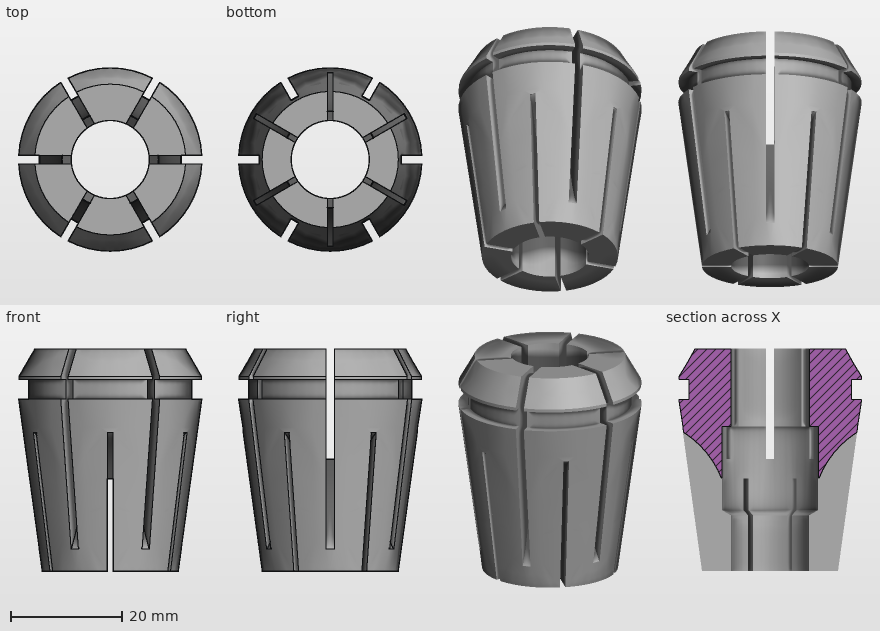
import cadquery as cq
import math

total_height = 40.0
taper_height = 30.95
neck_top = 34.5
rim_height = 0.55

base_radius = 12.25
taper_diameter = 33.0
taper_radius = taper_diameter / 2
neck_radius = 14.7
rim_radius = 16.45
top_radius = 13.55

bore_radius = 7.0
relief_radius = 8.65
relief_bottom = 10.0
relief_top = 26.0
shoulder_angle = 30.0
shoulder_rise = (relief_radius - bore_radius) * math.tan(math.radians(shoulder_angle))

slots_per_set = 6
slot_pitch = 360.0 / slots_per_set
slot_inner = bore_radius / 2
slot_outer = taper_diameter
slot_land = 0.1

top_slot_width = 1.5
top_slot_outer_end = 4.0
top_slot_inner_end = 20.15
top_slot_arc_radius = 28.0

base_slot_width = 1.0
base_slot_outer_end = 24.9
base_slot_inner_end = 16.6
base_slot_arc_radius = 17.2


def taper_radius_at(height):
    """Outside radius of the long taper at a given height."""
    return base_radius + (taper_radius - base_radius) * height / taper_height


def revolve_profile(points):
    return cq.Workplane("XZ").polyline(points).close().revolve(360, (0, 0, 0), (0, 1, 0))


def make_blank():
    """Tapered body, neck groove and conical head."""
    return revolve_profile([
        (0, 0),
        (base_radius, 0),
        (taper_radius, taper_height),
        (neck_radius, taper_height),
        (neck_radius, neck_top),
        (rim_radius, neck_top),
        (rim_radius, neck_top + rim_height),
        (top_radius, total_height),
        (0, total_height),
    ])


def make_bore():
    """Through bore with its wider middle."""
    return revolve_profile([
        (0, 0),
        (bore_radius, 0),
        (bore_radius, relief_bottom),
        (relief_radius, relief_bottom + shoulder_rise),
        (relief_radius, relief_top),
        (bore_radius, relief_top),
        (bore_radius, total_height),
        (0, total_height),
    ])


def arc_midpoint(outer, inner, radius):
    """Middle of an arc that bows towards the collet axis."""
    run = outer[0] - inner[0]
    rise = outer[1] - inner[1]
    chord = math.hypot(run, rise)
    bow = radius - math.sqrt(radius**2 - (chord / 2) ** 2)
    return (
        (outer[0] + inner[0]) / 2 - bow * abs(rise) / chord,
        (outer[1] + inner[1]) / 2 + math.copysign(bow, rise) * run / chord,
    )


def make_slot(width, outer_end, inner_end, arc_radius, open_end):
    """Radial slot open at one end of the collet and closed by an arc."""
    outer = (taper_radius_at(outer_end) - slot_land, outer_end)
    inner = (relief_radius + slot_land, inner_end)
    return (
        cq.Workplane("XZ")
        .moveTo(slot_outer, open_end)
        .lineTo(slot_outer, outer_end)
        .lineTo(*outer)
        .threePointArc(arc_midpoint(outer, inner, arc_radius), inner)
        .lineTo(slot_inner, inner_end)
        .lineTo(slot_inner, open_end)
        .close()
        .extrude(width / 2, both=True)
    )


top_slot = make_slot(
    top_slot_width, top_slot_outer_end, top_slot_inner_end, top_slot_arc_radius, total_height
)
base_slot = make_slot(
    base_slot_width, base_slot_outer_end, base_slot_inner_end, base_slot_arc_radius, 0
)

collet = make_blank().cut(make_bore())
for index in range(slots_per_set):
    top_angle = index * slot_pitch
    base_angle = top_angle + slot_pitch / 2
    collet = collet.cut(top_slot.rotate((0, 0, 0), (0, 0, 1), top_angle))
    collet = collet.cut(base_slot.rotate((0, 0, 0), (0, 0, 1), base_angle))

result = collet